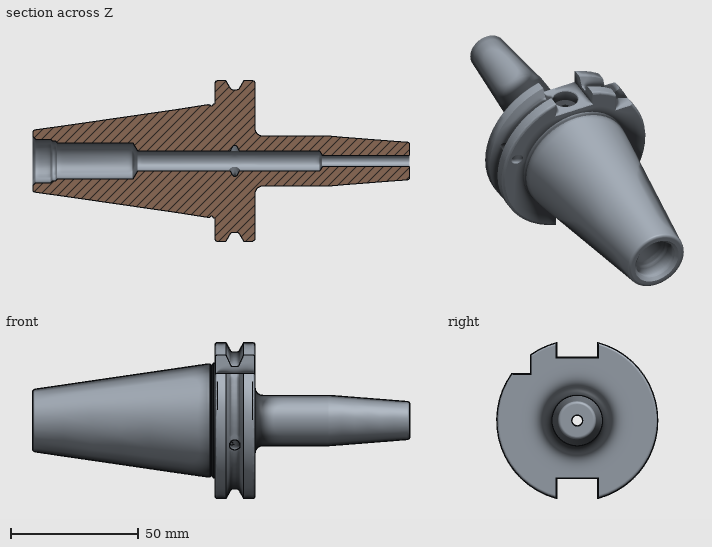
import cadquery as cq
import math

OVERALL_LENGTH = 148.4

GAUGE_X = 0.5
TAIL_X = -68.4
NOSE_X = TAIL_X + OVERALL_LENGTH
FLANGE_START_X = 3.3
FLANGE_END_X = 19.1
V_GROOVE_X = 11.1
NOSE_TAPER_LENGTH = 31.9

GAUGE_RADIUS = 22.3
SHANK_TAPER = 7 / 48
TAIL_RADIUS = GAUGE_RADIUS + (TAIL_X - GAUGE_X) * SHANK_TAPER
TAIL_ROUND = 1.2

RELIEF_START_X = 1.3
RELIEF_END_X = 2.7
RELIEF_DEPTH = 0.5
COLLAR_RADIUS = GAUGE_RADIUS + 0.3

FLANGE_DIAMETER = 63.4
FLANGE_RADIUS = FLANGE_DIAMETER / 2
FLANGE_ROUND = 1.0
V_DEPTH = 3.5
V_WIDTH = 7.0
V_HALF_ANGLE = 30.0
V_ROOT_ROUND = 0.9

STEM_RADIUS = 10.0
STEM_FILLET = 3.0
NOSE_TAPER_ANGLE = 4.5
NOSE_RADIUS = STEM_RADIUS - NOSE_TAPER_LENGTH * math.tan(math.radians(NOSE_TAPER_ANGLE))
NOSE_ROUND = 1.2

MOUTH_RADIUS = 9.6
PILOT_RADIUS = 8.5
PILOT_LENGTH = 6.0
NECK_RADIUS = 7.7
NECK_LENGTH = 1.2
THREAD_RADIUS = 7.0
THREAD_LENGTH = 29.7
PASSAGE_RADIUS = 3.9
PASSAGE_END_X = 44.5
TOOL_BORE_RADIUS = 2.1
DRILL_POINT_HALF_ANGLE = 59.0

SLOT_WIDTH = 16.0
UPPER_SLOT_FLOOR = 25.0
LOWER_SLOT_FLOOR = 22.9
NOTCH_OFFSET = 18.4
SLOT_CHAMFER = 0.3
CUT_CLEARANCE = 1.5

CHIP_RADIUS = 4.9
CHIP_CHAMFER = 0.3
CHIP_DEPTH = 4.6
CHIP_HOLE_RADIUS = 2.0

COOLANT_RADIUS = 2.1
COOLANT_PITCH_RADIUS = 26.9
COOLANT_ANGLE = 20.0
COOLANT_TILT = 37.0


def drill_point_length(large_radius, small_radius):
    return (large_radius - small_radius) / math.tan(math.radians(DRILL_POINT_HALF_ANGLE))


def revolve_about_x(profile):
    return profile.close().revolve(360, (0, 0, 0), (1, 0, 0))


def make_body():
    """Shank, flange and stem as one turned solid, with rounded edges."""
    relief_radius = GAUGE_RADIUS - RELIEF_DEPTH
    profile = (
        cq.Workplane("XZ")
        .moveTo(TAIL_X, 0)
        .lineTo(TAIL_X, TAIL_RADIUS)
        .lineTo(GAUGE_X, GAUGE_RADIUS)
        .lineTo(RELIEF_START_X, GAUGE_RADIUS)
        .lineTo(RELIEF_START_X + RELIEF_DEPTH, relief_radius)
        .lineTo(RELIEF_END_X - RELIEF_DEPTH, relief_radius)
        .lineTo(RELIEF_END_X, COLLAR_RADIUS)
        .lineTo(FLANGE_START_X, COLLAR_RADIUS)
        .lineTo(FLANGE_START_X, FLANGE_RADIUS)
        .lineTo(FLANGE_END_X, FLANGE_RADIUS)
        .lineTo(FLANGE_END_X, STEM_RADIUS + STEM_FILLET)
        .radiusArc((FLANGE_END_X + STEM_FILLET, STEM_RADIUS), -STEM_FILLET)
        .lineTo(NOSE_X - NOSE_TAPER_LENGTH, STEM_RADIUS)
        .lineTo(NOSE_X, NOSE_RADIUS)
        .lineTo(NOSE_X, 0)
    )
    body = revolve_about_x(profile)
    body = body.edges("%CIRCLE").edges(cq.selectors.RadiusNthSelector(-1)).fillet(FLANGE_ROUND)
    body = body.faces("<X").edges().fillet(TAIL_ROUND)
    return body.faces(">X").edges().fillet(NOSE_ROUND)


def make_v_groove():
    """Ring with a 60 degree V section and rounded root corners."""
    root_radius = FLANGE_RADIUS - V_DEPTH
    half_top = V_WIDTH / 2
    half_root = half_top - V_DEPTH * math.tan(math.radians(V_HALF_ANGLE))
    profile = (
        cq.Workplane("XZ")
        .moveTo(V_GROOVE_X - half_top, FLANGE_RADIUS)
        .lineTo(V_GROOVE_X - half_root, root_radius)
        .lineTo(V_GROOVE_X + half_root, root_radius)
        .lineTo(V_GROOVE_X + half_top, FLANGE_RADIUS)
    )
    ring = revolve_about_x(profile)
    at_root = cq.selectors.RadiusNthSelector(0)
    return ring.edges("%CIRCLE").edges(at_root).fillet(V_ROOT_ROUND)


def make_bore():
    """Stepped bore through the whole part, entered from the tail."""
    pilot_start = TAIL_X + MOUTH_RADIUS - PILOT_RADIUS
    pilot_end = pilot_start + PILOT_LENGTH
    neck_start = pilot_end + PILOT_RADIUS - NECK_RADIUS
    neck_end = neck_start + NECK_LENGTH
    thread_start = neck_end + NECK_RADIUS - THREAD_RADIUS
    thread_end = thread_start + THREAD_LENGTH
    passage_start = thread_end + drill_point_length(THREAD_RADIUS, PASSAGE_RADIUS)
    tool_bore_start = PASSAGE_END_X + drill_point_length(PASSAGE_RADIUS, TOOL_BORE_RADIUS)
    profile = (
        cq.Workplane("XZ")
        .moveTo(TAIL_X, 0)
        .lineTo(TAIL_X, MOUTH_RADIUS)
        .lineTo(pilot_start, PILOT_RADIUS)
        .lineTo(pilot_end, PILOT_RADIUS)
        .lineTo(neck_start, NECK_RADIUS)
        .lineTo(neck_end, NECK_RADIUS)
        .lineTo(thread_start, THREAD_RADIUS)
        .lineTo(thread_end, THREAD_RADIUS)
        .lineTo(passage_start, PASSAGE_RADIUS)
        .lineTo(PASSAGE_END_X, PASSAGE_RADIUS)
        .lineTo(tool_bore_start, TOOL_BORE_RADIUS)
        .lineTo(NOSE_X, TOOL_BORE_RADIUS)
        .lineTo(NOSE_X, 0)
    )
    return revolve_about_x(profile)


def slot_cutter(y_min, y_max, z_min, z_max):
    """Block through the flange along X that also breaks the slot edges on both flange faces."""
    centre_y = (y_min + y_max) / 2
    centre_z = (z_min + z_max) / 2
    width = y_max - y_min
    height = z_max - z_min
    start = cq.Workplane("YZ", origin=(FLANGE_START_X, centre_y, centre_z))
    end = cq.Workplane("YZ", origin=(FLANGE_END_X, centre_y, centre_z))
    wide_width = width + 2 * SLOT_CHAMFER
    wide_height = height + 2 * SLOT_CHAMFER
    block = start.rect(width, height).extrude(FLANGE_END_X - FLANGE_START_X)
    start_break = start.rect(wide_width, wide_height).extrude(SLOT_CHAMFER, taper=45)
    end_break = end.rect(wide_width, wide_height).extrude(-SLOT_CHAMFER, taper=45)
    return block.union(start_break).union(end_break)


def make_flange_cuts():
    half = SLOT_WIDTH / 2
    clear = FLANGE_RADIUS + CUT_CLEARANCE
    upper = slot_cutter(-half, half, UPPER_SLOT_FLOOR, clear)
    lower = slot_cutter(-half, half, -clear, -LOWER_SLOT_FLOOR)
    notch = slot_cutter(-clear, -NOTCH_OFFSET, NOTCH_OFFSET, clear)
    return upper.union(lower).union(notch)


def make_chip_pocket():
    pocket_top = cq.Workplane("XY", origin=(V_GROOVE_X, 0, UPPER_SLOT_FLOOR))
    pocket = pocket_top.circle(CHIP_RADIUS).extrude(-CHIP_DEPTH)
    rim = pocket_top.circle(CHIP_RADIUS + CHIP_CHAMFER).extrude(-CHIP_CHAMFER, taper=45)
    hole = pocket_top.circle(CHIP_HOLE_RADIUS).extrude(-UPPER_SLOT_FLOOR)
    return pocket.union(rim).union(hole)


def make_coolant_passage(angle):
    """Radial hole from the V-groove to the bore, met by a tilted hole from the flange face."""
    radial = cq.Solid.makeCylinder(
        COOLANT_RADIUS, FLANGE_RADIUS, cq.Vector(V_GROOVE_X, 0, 0), cq.Vector(0, 1, 0)
    )
    run = V_GROOVE_X - FLANGE_START_X
    tilt = math.radians(COOLANT_TILT)
    direction = cq.Vector(math.cos(tilt), -math.sin(tilt), 0)
    length = run / math.cos(tilt) + CUT_CLEARANCE
    entry = cq.Vector(FLANGE_START_X, COOLANT_PITCH_RADIUS, 0)
    start = entry - direction * CUT_CLEARANCE
    tilted = cq.Solid.makeCylinder(COOLANT_RADIUS, length, start, direction)
    passage = cq.Workplane(radial).union(cq.Workplane(tilted))
    return passage.rotate((0, 0, 0), (1, 0, 0), angle)


result = (
    make_body()
    .cut(make_v_groove())
    .cut(make_flange_cuts())
    .cut(make_bore())
    .cut(make_chip_pocket())
)
for side in (0, 180):
    result = result.cut(make_coolant_passage(COOLANT_ANGLE + side))